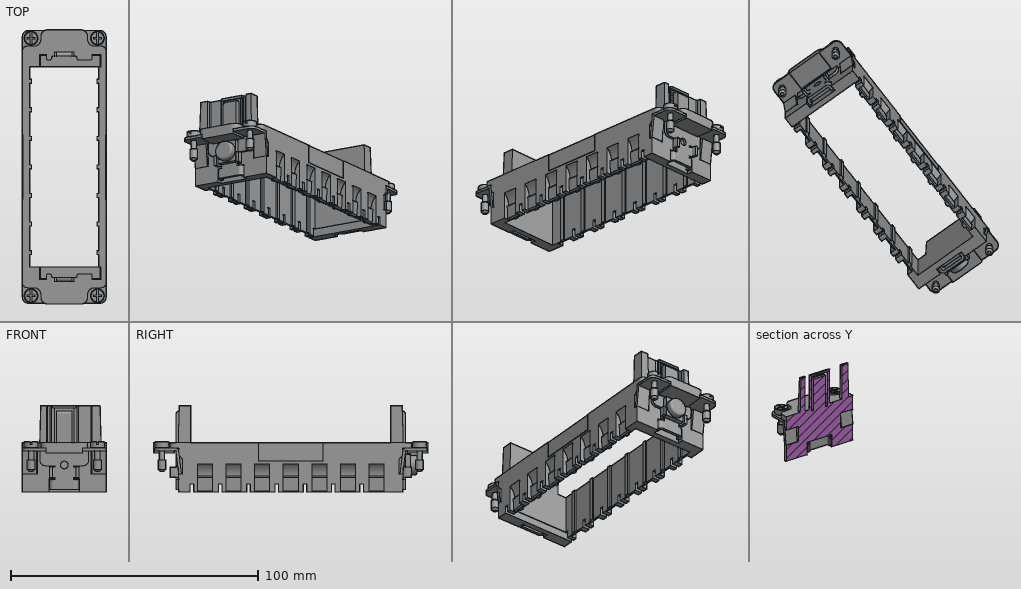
import cadquery as cq
length = 111.0
width = 34.0
height = 20.0
half_width = width / 2
half_length = length / 2
opening_half_width = 13.9
opening_end = 40.4
wall_end = 45.3

deck_underside = 17.8
tongue_underside = 15.8
tongue_half_width = 7.4
tongue_start = 47.1
flange_flat = 6.5
flange_nose_radius = 2.9
screw_bay_radius = 2.8
screw_bay_back = 48.8
shoulder_radius = 2.1

sheet = 1.1
bracket_end = 55.2
bracket_corner_radius = 2.5
leg_back = wall_end
leg_front = leg_back + sheet
leg_half_width = 9.9
leg_bottom = 10.7
leg_corner_radius = 2.3
strip_half_width = 3.8
strip_bottom = 1.0
bend_inner_radius = 0.5
bend_outer_radius = bend_inner_radius + sheet
top_bend_radius = 0.9
curl_inner_x = 4.8
curl_outer_x = curl_inner_x + sheet
guide_bottom = 6.0
guide_top = 10.1
guide_tip = 48.7
hook_top = 5.1
hook_tip = 43.3
spring_inner_x = 11.2
spring_top = deck_underside - sheet
spring_lean = 1.1
earth_hole_radius = 1.5
earth_hole_z = 11.0

spring_pocket_inner_x = 10.9
spring_pocket_floor = 7.3
spring_pocket_depth = 1.5
spring_pocket_roof_rise = 1.3
spring_pocket_roof = 13.3
hook_recess_half_width = 6.2
hook_recess_top = 5.4
hook_recess_depth = 2.4

pillar_top = 35.0
pillar_left = -9.5
pillar_right = 14.5
pillar_back = 45.1
pillar_draft = 0.39
groove_floor = 43.2
groove_bevel = 0.4
left_groove_start = -7.2
right_groove_end = 11.2
land_half_width = 4.8
land_foot_half_width = 5.8
land_back = 44.7

key_half_width = 3.1
key_back = 46.4
key_top = 32.9
key_round_radius = 1.3
key_recess_half_width = 4.0
key_recess_floor = 44.0
key_recess_top = 34.0
land_step = 0.3
key_slot_half_width = 3.9
key_slot_depth = 1.1

module_count = 7
module_pitch = 11.5
window_length = 6.1
window_top = 11.4
window_roof_inner = 10.4
window_roof_depth = 1.0
window_depth = 2.4
window_back_radius = 6.9
window_ledge_inner = 6.4
window_ledge_outer = 6.0
window_sill_depth = 1.5
window_foot_depth = 1.9
window_lead_in = 0.5
rib_length = 1.7
rib_height = 0.7
slot_pitch = 11.4
slot_offset = 5.7
slot_width = 1.3
slot_height = 3.2
label_half_length = 13.0
label_bottom = 12.7
label_depth = 0.2

screw_x = 13.4
screw_y = 52.1
head_radius = 2.8
head_top = 20.4
head_chamfer = 0.2
shank_radius = 1.1
thread_radius = 1.5
thread_top = 13.1
thread_bottom = 8.3
thread_chamfer = 0.9
cross_width = 0.7
cross_depth = 1.1
cross_length = 3.3

clamp_width = 8.4
clamp_height = 8.9
clamp_thickness = 2.0
earth_head_radius = 4.0
earth_head_height = 2.7
earth_head_edge = 0.9


def box(x0, x1, y0, y1, z0, z1):
    return cq.Workplane("XY").box(x1 - x0, y1 - y0, z1 - z0, centered=False).translate((x0, y0, z0))


def both_sides(right):
    """A shape on the +X side together with its mirror image."""
    return right.union(right.mirror("YZ"))


def both_ends(far):
    """A shape at the +Y end together with its mirror image."""
    return far.union(far.mirror("XZ"))


def flange_slab(z0, z1):
    """Slab with the flange outline: a rounded nose between a bay for each corner screw."""
    nose_x = flange_flat + flange_nose_radius
    nose_y = half_length - flange_nose_radius
    shoulder_y = screw_bay_back - shoulder_radius
    right_half = (
        cq.Workplane("XY", origin=(0, 0, z0))
        .moveTo(0, opening_end)
        .lineTo(half_width, opening_end)
        .lineTo(half_width, shoulder_y)
        .radiusArc((half_width - shoulder_radius, screw_bay_back), -shoulder_radius)
        .lineTo(nose_x + screw_bay_radius, screw_bay_back)
        .radiusArc((nose_x, screw_bay_back + screw_bay_radius), screw_bay_radius)
        .lineTo(nose_x, nose_y)
        .radiusArc((flange_flat, half_length), -flange_nose_radius)
        .lineTo(0, half_length)
        .close()
        .extrude(z1 - z0)
    )
    return both_sides(right_half)


def flange():
    """Deck end, and the thicker tongue in its middle."""
    tongue_area = box(
        -tongue_half_width, tongue_half_width, tongue_start, half_length, tongue_underside, height
    )
    tongue = flange_slab(tongue_underside, height).intersect(tongue_area)
    return flange_slab(deck_underside, height).union(tongue)


def spring_tab_back(z):
    """Y of the back face of the leaning spring tab at height z."""
    fall = (spring_top - z) / (spring_top - spring_pocket_floor)
    return leg_back - spring_lean * fall


def spring_pocket():
    """Corner pocket behind a spring tab; its 45 degree roof runs out at the tab."""
    inner_y = wall_end - spring_pocket_depth
    roof_end = spring_pocket_roof + spring_pocket_roof_rise
    return (
        cq.Workplane("YZ", origin=(spring_pocket_inner_x, 0, 0))
        .moveTo(inner_y, spring_pocket_floor)
        .lineTo(wall_end, spring_pocket_floor)
        .lineTo(wall_end, spring_top)
        .lineTo(spring_tab_back(roof_end), roof_end)
        .lineTo(inner_y, spring_pocket_roof)
        .close()
        .extrude(half_width - spring_pocket_inner_x)
    )


def pillar_plan(z, growth):
    """Pillar section: two feet, two grooves and a central land; outer sides moved out by growth."""
    back = pillar_back + growth
    bevel = groove_floor + groove_bevel
    land_side = land_half_width + groove_bevel
    points = [
        (pillar_left - growth, opening_end),
        (pillar_left - growth, back),
        (left_groove_start, back),
        (left_groove_start, bevel),
        (left_groove_start + groove_bevel, groove_floor),
        (-land_foot_half_width, groove_floor),
        (-land_side, bevel),
        (-land_side, land_back - groove_bevel),
        (-land_half_width, land_back),
        (land_half_width, land_back),
        (land_side, land_back - groove_bevel),
        (land_side, bevel),
        (land_foot_half_width, groove_floor),
        (right_groove_end - groove_bevel, groove_floor),
        (right_groove_end, bevel),
        (right_groove_end, back),
        (pillar_right + growth, back),
        (pillar_right + growth, opening_end),
    ]
    return cq.Wire.makePolygon([cq.Vector(x, y, z) for x, y in points], close=True)


def pillar():
    wires = [pillar_plan(height, pillar_draft), pillar_plan(pillar_top, 0)]
    return cq.Workplane(cq.Solid.makeLoft(wires, True))


def key_clearance():
    """Recess in the pillar behind the key, a step across the land, and the slot in the deck."""
    step_half_width = land_half_width + groove_bevel
    step = box(-step_half_width, step_half_width, land_back - land_step, land_back, height, key_recess_top)
    recess = box(
        -key_recess_half_width, key_recess_half_width, key_recess_floor, key_back, height, key_recess_top
    )
    slot_bottom = height - key_slot_depth
    slot = box(-key_slot_half_width, key_slot_half_width, key_recess_floor, key_back, slot_bottom, height)
    return recess.union(step).union(slot)


def key():
    """Upright key with a rounded top."""
    return (
        cq.Workplane("YZ", origin=(-key_half_width, 0, 0))
        .moveTo(key_recess_floor, height - key_slot_depth)
        .lineTo(key_back, height - key_slot_depth)
        .lineTo(key_back, key_top - key_round_radius)
        .radiusArc((key_back - key_round_radius, key_top), -key_round_radius)
        .lineTo(key_recess_floor, key_top)
        .close()
        .extrude(2 * key_half_width)
    )


def window(y):
    """Side-wall window: a hollow with a curved back above a shallower recess down to the rim."""
    roof_x = half_width - window_roof_depth
    back_x = half_width - window_depth
    sill_x = half_width - window_sill_depth
    foot_x = half_width - window_foot_depth
    return (
        cq.Workplane("XZ", origin=(0, y + window_length / 2, 0))
        .moveTo(half_width, 0)
        .lineTo(half_width, window_top)
        .lineTo(roof_x, window_roof_inner)
        .radiusArc((back_x, window_ledge_inner), -window_back_radius)
        .lineTo(sill_x, window_ledge_outer)
        .lineTo(foot_x, window_lead_in)
        .lineTo(foot_x - window_lead_in, 0)
        .close()
        .extrude(window_length)
    )


def rib(y):
    """Upright rib on the inner face of the +X wall."""
    return box(
        opening_half_width - rib_height, opening_half_width, y - rib_length / 2, y + rib_length / 2, 0, height
    )


def rim_slot(y):
    return box(-half_width, half_width, y - slot_width / 2, y + slot_width / 2, 0, slot_height)


def hook_recess():
    return box(
        -hook_recess_half_width,
        hook_recess_half_width,
        wall_end - hook_recess_depth,
        wall_end,
        0,
        hook_recess_top,
    )


def label_panel():
    """Shallow label recess on the +X wall."""
    return box(
        half_width - label_depth, half_width, -label_half_length, label_half_length, label_bottom, height
    )


def make_housing():
    body = box(-half_width, half_width, -wall_end, wall_end, 0, height).union(both_ends(flange()))
    body = body.cut(box(-opening_half_width, opening_half_width, -opening_end, opening_end, 0, height))
    body = body.cut(both_ends(both_sides(spring_pocket()))).cut(both_ends(hook_recess()))
    body = body.union(both_ends(pillar())).cut(both_ends(key_clearance())).union(both_ends(key()))
    for i in range(module_count):
        step = i - (module_count - 1) / 2
        body = body.cut(both_sides(window(step * module_pitch)))
        body = body.union(both_sides(rib(step * module_pitch)))
        body = body.cut(rim_slot(step * slot_pitch - slot_offset))
    return body.cut(both_sides(label_panel()))


def curl(outside, direction, tip, z0, z1):
    """Tab bent from the +X edge of the strip; outside is the face on the outer side of the bend."""
    inside = outside + direction * sheet
    bend_x = curl_inner_x - bend_inner_radius
    bend_end = outside + direction * bend_outer_radius
    return (
        cq.Workplane("XY", origin=(0, 0, z0))
        .moveTo(0, outside)
        .lineTo(bend_x, outside)
        .radiusArc((curl_outer_x, bend_end), -direction * bend_outer_radius)
        .lineTo(curl_outer_x, tip)
        .lineTo(curl_inner_x, tip)
        .lineTo(curl_inner_x, bend_end)
        .radiusArc((bend_x, inside), direction * bend_inner_radius)
        .lineTo(0, inside)
        .close()
        .extrude(z1 - z0)
    )


def spring_tab():
    """Tab hanging from the bracket's top and leaning into its pocket."""
    return (
        cq.Workplane("YZ", origin=(spring_inner_x, 0, 0))
        .moveTo(leg_back, spring_top)
        .lineTo(leg_back - spring_lean, spring_pocket_floor)
        .lineTo(leg_front - spring_lean, spring_pocket_floor)
        .lineTo(leg_front, spring_top)
        .close()
        .extrude(half_width - spring_inner_x)
    )


def make_bracket():
    """Bracket of the +Y end: two screw wings, a leg, two spring tabs and a strip with curled tabs."""
    top = box(-half_width, half_width, leg_back, bracket_end, spring_top, deck_underside)
    top = top.edges("|Z and >Y").fillet(bracket_corner_radius)
    top = top.edges("|X and <Y and >Z").fillet(top_bend_radius)
    top = top.cut(
        box(-tongue_half_width, tongue_half_width, tongue_start, half_length, tongue_underside, height)
    )
    leg = box(-leg_half_width, leg_half_width, leg_back, leg_front, leg_bottom, spring_top)
    leg = leg.edges("|Y and <Z").fillet(leg_corner_radius)
    strip = box(-strip_half_width, strip_half_width, leg_back, leg_front, strip_bottom, leg_bottom)
    guide = curl(leg_back, 1, guide_tip, guide_bottom, guide_top)
    hook = curl(leg_front, -1, hook_tip, strip_bottom, hook_top)
    sheet_part = top.union(leg).union(strip).union(both_sides(guide.union(hook).union(spring_tab())))
    screw_holes = (
        cq.Workplane("XY")
        .pushPoints([(-screw_x, screw_y), (screw_x, screw_y)])
        .circle(shank_radius)
        .extrude(height)
    )
    earth_hole = (
        cq.Workplane("XZ", origin=(0, leg_back, earth_hole_z)).circle(earth_hole_radius).extrude(-sheet)
    )
    return sheet_part.cut(screw_holes).cut(earth_hole)


def make_screw(x, y):
    """Captive corner screw with a slotted cross recess."""
    head = cq.Workplane("XY").workplane(offset=deck_underside).circle(head_radius)
    head = head.extrude(head_top - deck_underside).edges().chamfer(head_chamfer)
    shank = cq.Workplane("XY").workplane(offset=thread_top).circle(shank_radius)
    shank = shank.extrude(deck_underside - thread_top)
    thread = cq.Workplane("XY").workplane(offset=thread_bottom).circle(thread_radius)
    thread = thread.extrude(thread_top - thread_bottom).faces("<Z").chamfer(thread_chamfer)
    cross_z = head_top - cross_depth
    half_slot = cross_width / 2
    slot = box(-half_slot, half_slot, -head_radius, head_radius, cross_z, head_top)
    cross = box(-cross_length / 2, cross_length / 2, -half_slot, half_slot, cross_z, head_top)
    screw = head.union(shank).union(thread).cut(slot).cut(cross)
    return screw.translate((x, y, 0))


def make_clamp():
    clamp = cq.Workplane("XZ", origin=(0, leg_front, earth_hole_z)).rect(clamp_width, clamp_height)
    return clamp.circle(earth_hole_radius).extrude(-clamp_thickness)


def make_earth_screw():
    head_y = leg_front + clamp_thickness
    head = cq.Workplane("XZ", origin=(0, head_y, earth_hole_z)).circle(earth_head_radius)
    head = head.extrude(-earth_head_height).faces(">Y").edges().fillet(earth_head_edge)
    shank = cq.Workplane("XZ", origin=(0, leg_back, earth_hole_z)).circle(earth_hole_radius)
    return head.union(shank.extrude(leg_back - head_y))


housing = make_housing()
far_bracket = make_bracket()
brackets = [far_bracket, far_bracket.mirror("XZ")]
screws = [make_screw(x, y) for x in (-screw_x, screw_x) for y in (-screw_y, screw_y)]
clamp = make_clamp()
earth_screw = make_earth_screw()

bodies = [housing, *brackets, *screws, clamp, earth_screw]
result = cq.Compound.makeCompound([body.solids().val() for body in bodies])